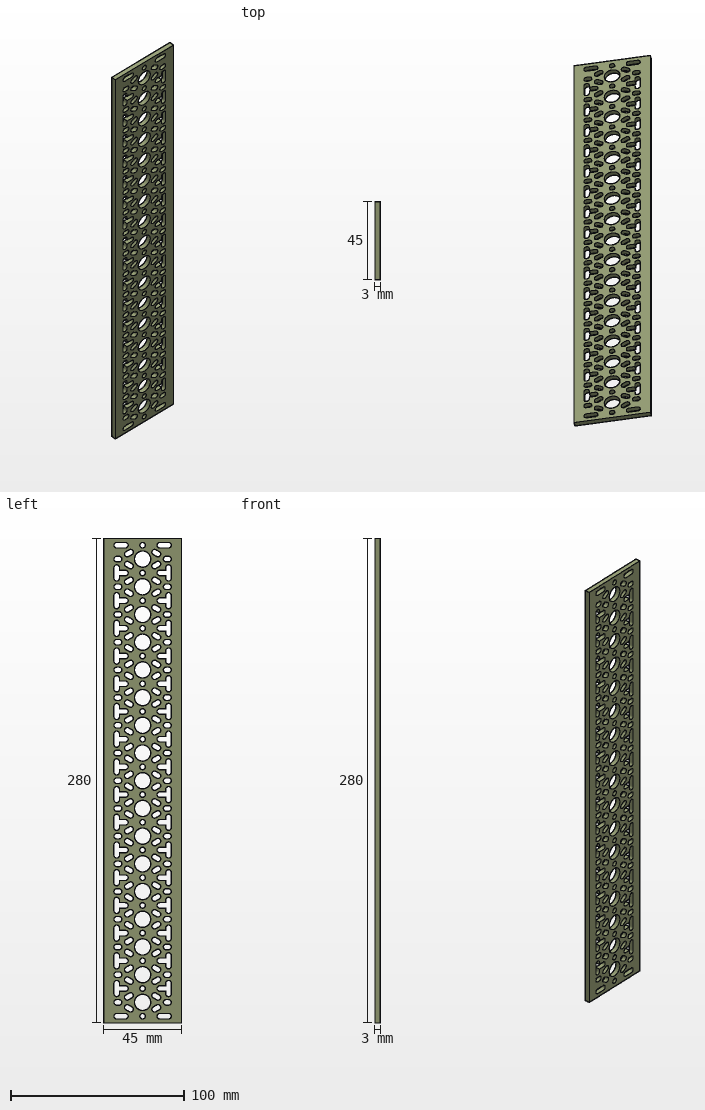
import cadquery as cq
import math

length = 280.0
width = 45.0
thickness = 3.0

cell_count = 17
pitch = length / (cell_count + 0.5)
large_hole_diameter = 9.2
small_hole_diameter = 3.0
bolt_circle_radius = pitch / 2

slot_width = 3.0
side_edge = 16.5
side_slot_length = 4.5
stem_length = 8.0
crossbar_length = 9.2
diagonal_angle = 30.0
diagonal_slot_length = 5.3

slot_radius = slot_width / 2
side_slot_y = side_edge - side_slot_length / 2
stem_y = side_edge - stem_length / 2

diagonal_run = (diagonal_slot_length - slot_width) / 2
diagonal_y = (bolt_circle_radius + diagonal_run) * math.cos(math.radians(diagonal_angle))
diagonal_z = (bolt_circle_radius - diagonal_run) * math.sin(math.radians(diagonal_angle))

large_hole_heights = [(i - (cell_count - 1) / 2) * pitch for i in range(cell_count)]
small_hole_heights = [(i - cell_count / 2) * pitch for i in range(cell_count + 1)]
end_heights = [small_hole_heights[0], small_hole_heights[-1]]
tee_heights = small_hole_heights[1:-1]


def both_sides(y, heights):
    """Points at +y and -y for every height."""
    return [(side * y, z) for side in (-1, 1) for z in heights]


def add_holes(outline, diameter, heights):
    """Round holes on the centreline."""
    return outline.pushPoints([(0, z) for z in heights]).circle(diameter / 2)


def add_slots(outline, points, slot_length, angle=0):
    """Slots centred on the points; an angle of 0 lies along Y, 90 along Z."""
    return outline.pushPoints(points).slot2D(slot_length, slot_width, angle)


def add_tee(outline, side, z):
    """T-shaped opening: a stem across the plate that ends in a crossbar along the side edge."""
    tip = side * (side_edge - stem_length)
    stem_start = tip + side * slot_radius
    inner = side * (side_edge - slot_width)
    middle = side * (side_edge - slot_radius)
    outer = side * side_edge
    reach = crossbar_length / 2
    straight = reach - slot_radius
    return (
        outline.moveTo(stem_start, z + slot_radius)
        .lineTo(inner, z + slot_radius)
        .lineTo(inner, z + straight)
        .threePointArc((middle, z + reach), (outer, z + straight))
        .lineTo(outer, z - straight)
        .threePointArc((middle, z - reach), (inner, z - straight))
        .lineTo(inner, z - slot_radius)
        .lineTo(stem_start, z - slot_radius)
        .threePointArc((tip, z), (stem_start, z + slot_radius))
        .close()
    )


outline = cq.Workplane("YZ").rect(width, length)

outline = add_holes(outline, large_hole_diameter, large_hole_heights)
outline = add_holes(outline, small_hole_diameter, small_hole_heights)

outline = add_slots(outline, both_sides(side_slot_y, large_hole_heights), side_slot_length)

outline = add_slots(outline, both_sides(stem_y, end_heights), stem_length)
for side in (-1, 1):
    for z in tee_heights:
        outline = add_tee(outline, side, z)

for side in (-1, 1):
    for end in (-1, 1):
        points = [(side * diagonal_y, z + end * diagonal_z) for z in large_hole_heights]
        outline = add_slots(outline, points, diagonal_slot_length, -side * end * diagonal_angle)

result = outline.extrude(thickness / 2, both=True)